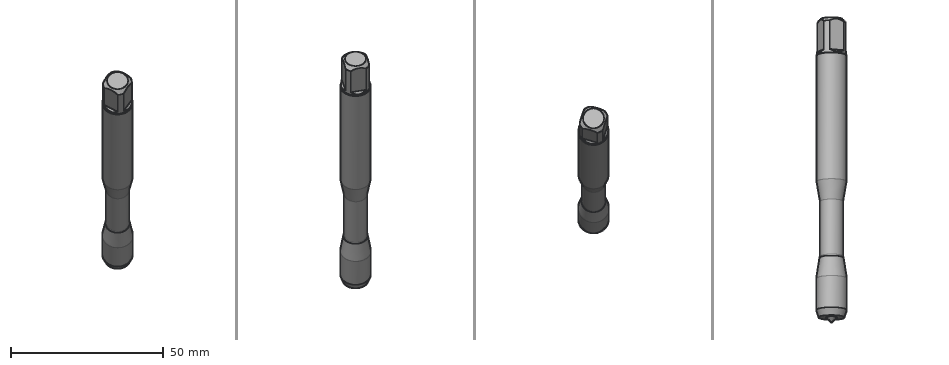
import cadquery as cq

total_length = 101.6

thread_dia = 10.2
lead_end_dia = 8.5
head_rear_dia = 8.0
point_height = 1.8
lead_top = 4.3
thread_top = 14.9
head_top = 21.8

neck_dia = 7.7
neck_flare_height = 0.6
shank_dia = 10.0
taper_bottom = 40.8
taper_top = 47.4
shank_top = 89.5

drive_dia = 9.6
drive_across_flats = 8.0
flat_bottom = 90.8
drive_top_dia = 6.9


def revolve_profile(points):
    """Revolve a closed outline of (radius, height) points about the Z axis."""
    return cq.Workplane("XZ").polyline(points).close().revolve(360, (0, 0), (0, 1))


def make_cutting_head():
    """Centre point, tapered lead, threaded land and rear taper."""
    return revolve_profile([
        (0, 0),
        (point_height, point_height),
        (lead_end_dia / 2, point_height),
        (thread_dia / 2, lead_top),
        (thread_dia / 2, thread_top),
        (head_rear_dia / 2, head_top),
        (0, head_top),
    ])


def make_turned_shank():
    """Neck, taper, shank and round drive end before the flats are cut."""
    shoulder_height = (shank_dia - drive_dia) / 2
    top_chamfer = (drive_dia - drive_top_dia) / 2
    return revolve_profile([
        (0, head_top),
        (head_rear_dia / 2, head_top),
        (neck_dia / 2, head_top + neck_flare_height),
        (neck_dia / 2, taper_bottom),
        (shank_dia / 2, taper_top),
        (shank_dia / 2, shank_top),
        (drive_dia / 2, shank_top + shoulder_height),
        (drive_dia / 2, total_length - top_chamfer),
        (drive_top_dia / 2, total_length),
        (0, total_length),
    ])


def make_flat_cutter():
    """Material removed for the +X flat, with a 45 degree run-out at its foot."""
    flat_x = drive_across_flats / 2
    outer_x = shank_dia / 2
    runout = outer_x - flat_x
    return (
        cq.Workplane("XZ")
        .polyline([
            (flat_x, flat_bottom),
            (outer_x, flat_bottom - runout),
            (outer_x, total_length),
            (flat_x, total_length),
        ])
        .close()
        .extrude(shank_dia / 2, both=True)
    )


def make_shank():
    """Turned shank with the four flats of the square drive."""
    shank = make_turned_shank()
    flat_count = 4
    for index in range(flat_count):
        angle = index * 360 / flat_count
        shank = shank.cut(make_flat_cutter().rotate((0, 0, 0), (0, 0, 1), angle))
    return shank


cutting_head = make_cutting_head()
shank = make_shank()

result = cq.Compound.makeCompound([cutting_head.val(), shank.val()])